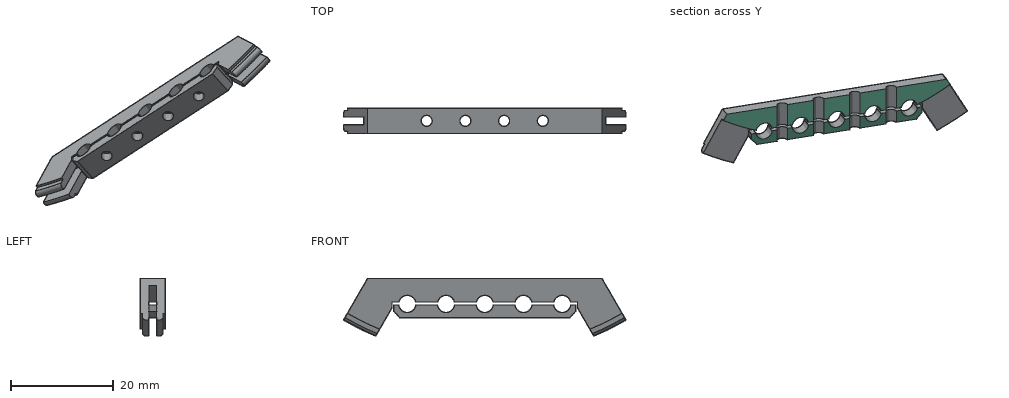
import cadquery as cq
import math

length = 55.3
width = 5.0
height = 11.3

leg_angle = math.radians(30)
top_half_length = 22.95
recess_half_length = 18.15
bar_underside = -4.65
recess_wall_bottom = -5.75

step_depth = 1.55
step_inset = 0.45
crown_radius = 0.9
crown_centre_y = 1.2

slot_width = 1.5
slot_top = -1.3

keeper_half_length = 17.8
keeper_top = -5.15
keeper_bottom = -7.7
keeper_chamfer_x = 1.15
keeper_chamfer_z = 1.25

cross_hole_count = 5
cross_hole_pitch = 7.6
cross_hole_diameter = 3.3
cross_hole_z = -5.0
screw_hole_diameter = 2.1

outer_tip_x = -length / 2
outer_tip_z = (outer_tip_x + top_half_length) / math.tan(leg_angle)
inner_tip_z = -height
inner_tip_x = -recess_half_length + (inner_tip_z - recess_wall_bottom) * math.tan(leg_angle)

axis_z = (outer_tip_x**2 + outer_tip_z**2 - inner_tip_x**2 - inner_tip_z**2) / (
    2 * (outer_tip_z - inner_tip_z)
)
tip_radius = math.hypot(outer_tip_x, axis_z - outer_tip_z)
step_radius = tip_radius - step_depth
slot_top_x = -top_half_length + slot_top * math.tan(leg_angle)
ceiling_radius = math.hypot(slot_top_x, axis_z - slot_top)


def row(count):
    """X positions of a centred row at the cross hole pitch."""
    return [(i - (count - 1) / 2) * cross_hole_pitch for i in range(count)]


def extrude_outline(points, depth):
    """Extrude an XZ outline symmetrically about the plane Y = 0."""
    return cq.Workplane("XZ").polyline(points).close().extrude(depth / 2, both=True)


def mirrored(left_points):
    """Complete a left half outline with its mirror image."""
    return left_points + [(-x, z) for x, z in reversed(left_points)]


def drill(body):
    """Cut the cross holes along Y and the screw holes along Z."""
    cross_holes = (
        cq.Workplane("XZ")
        .pushPoints([(x, cross_hole_z) for x in row(cross_hole_count)])
        .circle(cross_hole_diameter / 2)
        .extrude(width, both=True)
    )
    screw_holes = (
        cq.Workplane("XY")
        .pushPoints([(x, 0) for x in row(cross_hole_count - 1)])
        .circle(screw_hole_diameter / 2)
        .extrude(-height)
    )
    return body.cut(cross_holes).cut(screw_holes)


def make_end_envelope():
    """Round body about the common axis whose rim shapes the leg ends."""
    tongue_half = width / 2 - step_inset
    crown_top = axis_z - tip_radius
    step_z = axis_z - step_radius

    def crown_point(y):
        centre_z = crown_top + crown_radius
        return (y, centre_z - math.sqrt(crown_radius**2 - (y - crown_centre_y) ** 2))

    slot_side = slot_width / 2
    half = (
        cq.Workplane("YZ")
        .moveTo(0, axis_z)
        .lineTo(0, crown_top)
        .lineTo(*crown_point(slot_side))
        .threePointArc(crown_point((slot_side + tongue_half) / 2), crown_point(tongue_half))
        .lineTo(tongue_half, step_z)
        .lineTo(width / 2, step_z)
        .lineTo(width / 2, axis_z)
        .close()
        .revolve(360, (0, axis_z), (1, axis_z))
    )
    return half.union(half.mirror("XZ"))


def make_slot():
    """Ring that cuts both leg slots, with its inner wall as their ceiling."""
    return (
        cq.Workplane("XZ", origin=(0, 0, axis_z))
        .circle(tip_radius + step_depth)
        .circle(ceiling_radius)
        .extrude(slot_width / 2, both=True)
    )


def make_frame():
    """Top bar with two leaning, slotted legs."""
    overrun = height * math.tan(leg_angle)
    blank = extrude_outline(
        mirrored(
            [
                (-top_half_length, 0),
                (outer_tip_x - overrun, outer_tip_z - height),
                (inner_tip_x - overrun, inner_tip_z - height),
                (-recess_half_length, recess_wall_bottom),
                (-recess_half_length, bar_underside),
            ]
        ),
        width,
    )
    return drill(blank.intersect(make_end_envelope()).cut(make_slot()))


def make_keeper():
    """Chamfered clamping bar that sits in the recess of the frame."""
    keeper = extrude_outline(
        mirrored(
            [
                (-keeper_half_length, keeper_top),
                (-keeper_half_length, keeper_bottom + keeper_chamfer_z),
                (-keeper_half_length + keeper_chamfer_x, keeper_bottom),
            ]
        ),
        width,
    )
    return drill(keeper)


frame = make_frame()
keeper = make_keeper()
result = cq.Compound.makeCompound([frame.val(), keeper.val()])